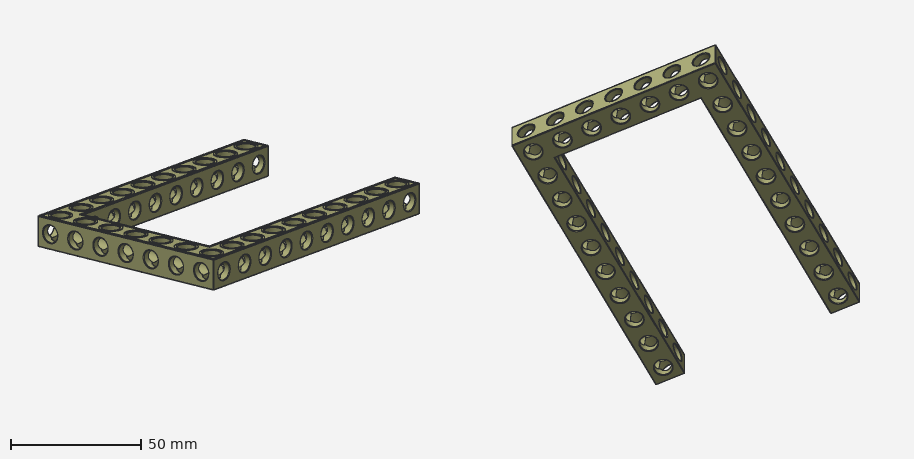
import cadquery as cq

PITCH = 12.5
COLUMNS = 7
ROWS = 10
HOLE_DIAMETER = 7.0
EDGE_CHAMFER = 0.3

RIM_WIDTH = 1.1
RECESS_DEPTH = 0.2
COLLAR_DIAMETER = 9.2

WIDTH = COLUMNS * PITCH
LENGTH = ROWS * PITCH


def hole_positions(count):
    """Evenly spaced coordinates of a row of holes, centred on zero."""
    return [(index - (count - 1) / 2) * PITCH for index in range(count)]


def u_profile(inset, height):
    """Extruded U outline with every side moved inwards by the inset."""
    outer_x = WIDTH / 2 - inset
    inner_x = WIDTH / 2 - PITCH + inset
    end_y = LENGTH / 2 - inset
    base_y = -LENGTH / 2 + PITCH - inset
    outline = [
        (-outer_x, -end_y),
        (outer_x, -end_y),
        (outer_x, end_y),
        (inner_x, end_y),
        (inner_x, base_y),
        (-inner_x, base_y),
        (-inner_x, end_y),
        (-outer_x, end_y),
    ]
    return cq.Workplane("XY").polyline(outline).close().extrude(height)


def hole_cutter(length):
    """Vertical bore from the origin up to the length, flared at both mouths."""
    radius = HOLE_DIAMETER / 2
    mouth = radius + EDGE_CHAMFER
    half_profile = [
        (0, 0),
        (mouth, 0),
        (radius, EDGE_CHAMFER),
        (radius, length - EDGE_CHAMFER),
        (mouth, length),
        (0, length),
    ]
    return cq.Workplane("XZ").polyline(half_profile).close().revolve(360, (0, 0, 0), (0, 1, 0))


def turned_to_x(cutter):
    """Turn a vertical cutter to point along +X."""
    return cutter.rotate((0, 0, 0), (0, 1, 0), 90)


def turned_to_y(cutter):
    """Turn a vertical cutter to point along +Y."""
    return cutter.rotate((0, 0, 0), (1, 0, 0), -90)


columns = hole_positions(COLUMNS)
rows = hole_positions(ROWS)
arm_columns = (columns[0], columns[-1])
base_row = rows[0]
top_positions = [(x, y) for x in arm_columns for y in rows]
top_positions += [(x, base_row) for x in columns[1:-1]]

body = u_profile(0, PITCH)
body = body.edges("|Z").edges("<Y or >Y").chamfer(EDGE_CHAMFER)
body = body.faces("<Z or >Z").edges().chamfer(EDGE_CHAMFER)

collars = cq.Workplane("XY").pushPoints(top_positions).circle(COLLAR_DIAMETER / 2).extrude(RECESS_DEPTH)
recess = u_profile(RIM_WIDTH, RECESS_DEPTH).cut(collars)
body = body.cut(recess.translate((0, 0, PITCH - RECESS_DEPTH)))

short_hole = hole_cutter(PITCH)
for x, y in top_positions:
    body = body.cut(short_hole.translate((x, y, 0)))

axis_height = PITCH / 2
base_bore = turned_to_x(hole_cutter(WIDTH))
body = body.cut(base_bore.translate((-WIDTH / 2, base_row, axis_height)))
arm_cross_hole = turned_to_x(short_hole)
for x in arm_columns:
    for y in rows[1:]:
        body = body.cut(arm_cross_hole.translate((x - PITCH / 2, y, axis_height)))

arm_bore = turned_to_y(hole_cutter(LENGTH))
for x in arm_columns:
    body = body.cut(arm_bore.translate((x, -LENGTH / 2, axis_height)))
base_cross_hole = turned_to_y(short_hole)
for x in columns[1:-1]:
    body = body.cut(base_cross_hole.translate((x, -LENGTH / 2, axis_height)))

result = body